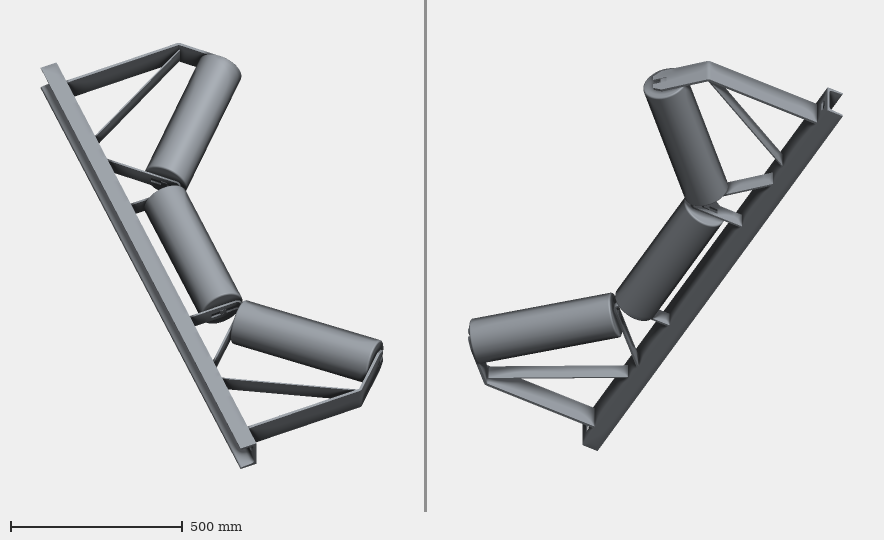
import cadquery as cq
import math

beam_length = 1500.0
beam_height = 100.0
flange_width = 50.0
web_thickness = 6.0
flange_thickness = 8.5
flange_slope = 0.08
root_radius = 8.5
tip_radius = 4.5
slot_width = 18.0
slot_height = 35.0
slot_from_end = 30.0

drum_diameter = 133.0
drum_length = 429.0
drum_edge_radius = 5.2
axle_square = 18.0
axle_length = 451.0

plate_gap = 437.0
trough_angle = 45.0

inner_thickness = 6.0
inner_height = 50.0
inner_level = -19.65
inner_apex_y = 196.0
inner_bend_radius = 10.0
middle_axle_y = 117.0
side_axle_from_apex = 77.4

outer_thickness = 8.0
outer_height = 80.0
outer_upright_x = 677.0
outer_bend_radius = 7.5
arm_past_axle = 31.5
arm_end_height = 50.0
arm_taper_length = 25.0

brace_thickness = 4.0
brace_height = 50.0
brace_foot_x = 470.0
brace_angle = 29.1

slope_cos = math.cos(math.radians(trough_angle))
slope_sin = math.sin(math.radians(trough_angle))
outward = cq.Vector(slope_cos, slope_sin, 0)
upward = cq.Vector(-slope_sin, slope_cos, 0)

half_gap = plate_gap / 2
inner_apex = cq.Vector(half_gap, inner_apex_y, 0)
side_axle_inner = inner_apex - upward * side_axle_from_apex
side_axle_outer = side_axle_inner + outward * plate_gap
arm_end = side_axle_outer + upward * arm_past_axle
outer_corner_y = arm_end.y - (outer_upright_x - arm_end.x) / math.tan(math.radians(trough_angle))

side_drop = cq.Vector(0, 0, inner_level)
side_axis = (side_axle_inner + side_drop) - side_axle_outer
side_middle = (side_axle_inner + side_drop + side_axle_outer) * 0.5

middle_plane = cq.Plane(origin=(0, middle_axle_y, inner_level), xDir=(0, 0, 1), normal=(1, 0, 0))
side_plane = cq.Plane(origin=side_middle, xDir=-upward, normal=side_axis)


def make_beam():
    top = beam_height / 2
    taper = flange_slope * flange_width / 2
    half = [
        (0, top),
        (-flange_width, top),
        (-flange_width, top - flange_thickness + taper),
        (-web_thickness, top - flange_thickness - taper + flange_slope * web_thickness),
    ]
    section = half + [(y, -z) for y, z in reversed(half)]
    beam = cq.Workplane("YZ").polyline(section).close().extrude(beam_length / 2, both=True)
    inside = cq.selectors.BoxSelector
    middle_box = (beam_length, -web_thickness - 1, top - 1), (-beam_length, -web_thickness + 1, 1 - top)
    beam = beam.edges("|X").edges(inside(*middle_box)).fillet(root_radius)
    tip_box = (beam_length, -flange_width - 1, top - 1), (-beam_length, -flange_width + 1, 1 - top)
    beam = beam.edges("|X").edges(inside(*tip_box)).fillet(tip_radius)
    slot_x = beam_length / 2 - slot_from_end
    slots = (
        cq.Workplane("XZ")
        .pushPoints([(-slot_x, 0), (slot_x, 0)])
        .slot2D(slot_height, slot_width, 90)
        .extrude(web_thickness)
    )
    return beam.cut(slots)


def make_roller(plane):
    drum = (
        cq.Workplane(plane)
        .workplane(offset=-drum_length / 2)
        .circle(drum_diameter / 2)
        .extrude(drum_length)
        .faces(cq.selectors.ParallelDirSelector(plane.zDir))
        .edges()
        .fillet(drum_edge_radius)
    )
    axle = cq.Workplane(plane).box(axle_square, axle_square, axle_length)
    return drum.union(axle)


def axle_slot(axis_plane, opening, reach):
    """Axle-wide cutter from the underside of the axle to `reach` past its centre, towards `opening`."""
    plane = cq.Plane(origin=axis_plane.origin, xDir=opening, normal=axis_plane.zDir)
    height = reach + axle_square / 2
    centre = (reach - axle_square / 2) / 2
    return cq.Workplane(plane).center(centre, 0).rect(height, axle_square).extrude(axle_length, both=True)


def make_inner_bracket():
    foot_x = half_gap + inner_apex_y * math.tan(math.radians(trough_angle))
    foot_width = inner_thickness / slope_cos
    inside_x = half_gap + inner_thickness
    inside_y = (foot_x - foot_width - inside_x) / math.tan(math.radians(trough_angle))
    bracket = (
        cq.Workplane("XY", origin=(0, 0, inner_level))
        .moveTo(half_gap, 0)
        .lineTo(half_gap, inner_apex_y)
        .lineTo(foot_x, 0)
        .lineTo(foot_x - foot_width, 0)
        .lineTo(inside_x, inside_y)
        .lineTo(inside_x, 0)
        .close()
        .extrude(inner_height / 2, both=True)
    )
    bracket = bracket.edges(cq.NearestToPointSelector((inside_x, inside_y, inner_level))).fillet(
        inner_bend_radius
    )
    bracket = bracket.edges(cq.NearestToPointSelector((half_gap, inner_apex_y, inner_level))).fillet(
        inner_bend_radius + inner_thickness
    )
    middle_slot = axle_slot(middle_plane, (0, 1, 0), inner_apex_y - middle_axle_y)
    side_slot = axle_slot(side_plane, upward, side_axle_from_apex)
    return bracket.cut(middle_slot).cut(side_slot)


def make_outer_bracket():
    outside_x = outer_upright_x + outer_thickness
    outside_corner_y = outer_corner_y + outer_thickness * math.tan(math.radians(trough_angle / 2))
    arm_end_outside = arm_end + outward * outer_thickness
    bracket = (
        cq.Workplane("XY")
        .moveTo(outer_upright_x, 0)
        .lineTo(outside_x, 0)
        .lineTo(outside_x, outside_corner_y)
        .lineTo(arm_end_outside.x, arm_end_outside.y)
        .lineTo(arm_end.x, arm_end.y)
        .lineTo(outer_upright_x, outer_corner_y)
        .close()
        .extrude(outer_height / 2, both=True)
    )
    bracket = bracket.edges(cq.NearestToPointSelector((outer_upright_x, outer_corner_y, 0))).fillet(
        outer_bend_radius
    )
    bracket = bracket.edges(cq.NearestToPointSelector((outside_x, outside_corner_y, 0))).fillet(
        outer_bend_radius + outer_thickness
    )
    end_plane = cq.Plane(origin=arm_end, xDir=upward, normal=outward)
    for side in (-1, 1):
        corner = (
            cq.Workplane(end_plane)
            .polyline(
                [
                    (0, side * arm_end_height / 2),
                    (0, side * outer_height / 2),
                    (-arm_taper_length, side * outer_height / 2),
                ]
            )
            .close()
            .extrude(outer_thickness)
        )
        bracket = bracket.cut(corner)
    return bracket.cut(axle_slot(side_plane, upward, 2 * arm_past_axle))


def make_brace(outer_bracket):
    """Flat strip from the beam to the bend of the outer bracket, trimmed to fit against it."""
    rise = outer_corner_y
    run = rise * math.tan(math.radians(brace_angle))
    foot_width = brace_thickness / math.cos(math.radians(brace_angle))
    strip = (
        cq.Workplane("XY")
        .polyline(
            [
                (brace_foot_x, 0),
                (brace_foot_x + foot_width, 0),
                (brace_foot_x + foot_width + run, rise),
                (brace_foot_x + run, rise),
            ]
        )
        .close()
        .extrude(brace_height / 2, both=True)
    )
    return strip.cut(outer_bracket)


outer_bracket = make_outer_bracket()
side_bodies = [
    make_roller(side_plane),
    make_inner_bracket(),
    outer_bracket,
    make_brace(outer_bracket),
]

bodies = [make_beam().val(), make_roller(middle_plane).val()]
for body in side_bodies:
    bodies.append(body.val())
    bodies.append(body.mirror("YZ").val())

result = cq.Compound.makeCompound(bodies)